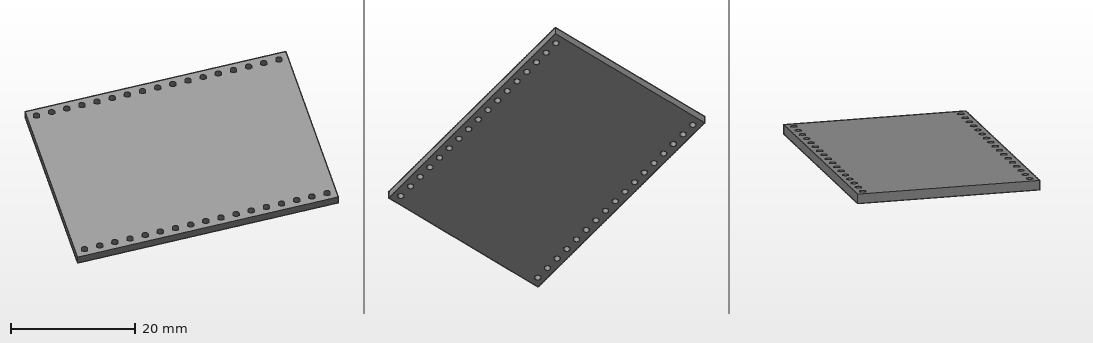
import cadquery as cq

pitch = 2.54
board_width = 12 * pitch
board_length = 43.72
board_thickness = 1.6

hole_diameter = 1.02
holes_per_row = 17
row_spacing = 11 * pitch


def make_board():
    """Flat rectangular board centred in X and Y, with its underside at Z = 0."""
    return cq.Workplane("XY").box(
        board_width, board_length, board_thickness, centered=(True, True, False)
    )


def pin_hole_centres():
    """Centres of both hole rows, symmetric about the board centre."""
    first_y = -(holes_per_row - 1) * pitch / 2
    return [
        (side * row_spacing / 2, first_y + index * pitch)
        for side in (-1, 1)
        for index in range(holes_per_row)
    ]


def drill_pin_holes(board):
    """Drill every pin hole through the full board thickness."""
    return board.faces(">Z").workplane().pushPoints(pin_hole_centres()).hole(hole_diameter)


result = drill_pin_holes(make_board())